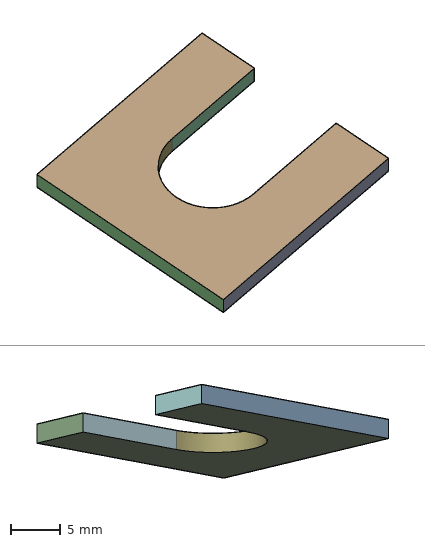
import cadquery as cq

plate_side = 25.4
plate_thickness = 2.0
slot_width = 11.13

slot_radius = slot_width / 2
half_side = plate_side / 2

plate = cq.Workplane("XY").box(plate_side, plate_side, plate_thickness)

slot = (
    cq.Workplane("XY")
    .moveTo(-slot_radius, half_side)
    .lineTo(-slot_radius, 0)
    .threePointArc((0, -slot_radius), (slot_radius, 0))
    .lineTo(slot_radius, half_side)
    .close()
    .extrude(plate_thickness, both=True)
)

result = plate.cut(slot)